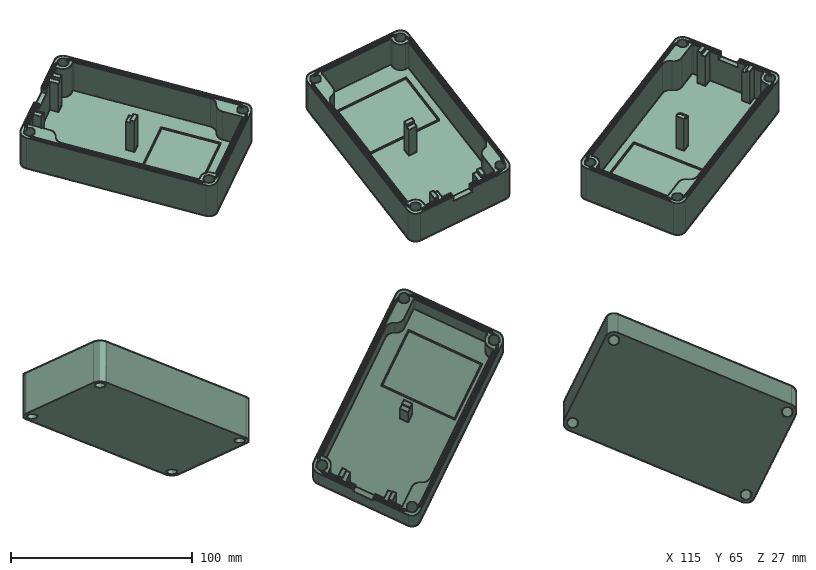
import cadquery as cq
import math

length = 115
width = 65
rim_height = 25
floor_thickness = 2
wall = 3
corner_radius = 5

hole_diameter = 6
hole_inset = 5
boss_radius = 5
long_boss_extension = 10
blend_radius = 5
cavity_corner_radius = 0.5

groove_inset = 1
groove_width = 1
groove_depth = 1.5
groove_corner_radius = 9

notch_width = 12
notch_depth = 4

post_size = 5
post_step = post_size / 2
post_height = 27
ledge_height = rim_height
center_post_x = -2.5
side_post_y = 14

panel_length = 35
panel_width = 45
panel_x = 25
panel_y = -2.5
panel_groove_width = 0.5
panel_groove_depth = 0.5

half_length = length / 2
half_width = width / 2
inner_x = half_length - wall
inner_y = half_width - wall
hole_x = half_length - hole_inset
hole_y = half_width - hole_inset


def rounded_block(size_x, size_y, bottom, top, radius):
    """Centred block with rounded vertical edges."""
    block = cq.Workplane("XY").workplane(offset=bottom).rect(size_x, size_y).extrude(top - bottom)
    return block.edges("|Z").fillet(radius)


def box_at(x_range, y_range, z_range):
    """Block spanning the given (low, high) ranges."""
    size = [high - low for low, high in (x_range, y_range, z_range)]
    corner = (x_range[0], y_range[0], z_range[0])
    return cq.Workplane("XY").box(*size, centered=False).translate(corner)


def make_cavity():
    """Inner space: short bosses at -X+Y and +X-Y, long blended bosses at the other two corners."""
    boss_edge_x = hole_x - boss_radius
    boss_edge_y = hole_y - boss_radius
    long_x = hole_x - long_boss_extension

    blend_y = inner_y - blend_radius
    center_rise = hole_y - blend_y
    center_run = math.sqrt((boss_radius + blend_radius) ** 2 - center_rise ** 2)
    blend_x = long_x - center_run
    touch_share = boss_radius / (boss_radius + blend_radius)
    touch = (long_x - touch_share * center_run, hole_y - touch_share * center_rise)

    half_angle = math.atan2(center_run, center_rise) / 2
    boss_mid = (long_x - boss_radius * math.sin(half_angle), hole_y - boss_radius * math.cos(half_angle))
    blend_mid = (blend_x + blend_radius * math.sin(half_angle), blend_y + blend_radius * math.cos(half_angle))

    diagonal = boss_radius * math.sqrt(0.5)
    short_mid = (hole_x - diagonal, diagonal - hole_y)

    def turned(turn, x, y):
        """The given point, or its half-turn image when turn is -1."""
        return (turn * x, turn * y)

    outline = cq.Workplane("XY").workplane(offset=floor_thickness).moveTo(-boss_edge_x, inner_y)
    for turn in (1, -1):
        outline = (
            outline.lineTo(*turned(turn, blend_x, inner_y))
            .threePointArc(turned(turn, *blend_mid), turned(turn, *touch))
            .threePointArc(turned(turn, *boss_mid), turned(turn, long_x, boss_edge_y))
            .lineTo(*turned(turn, inner_x, boss_edge_y))
            .lineTo(*turned(turn, inner_x, -boss_edge_y))
            .lineTo(*turned(turn, hole_x, -boss_edge_y))
            .threePointArc(turned(turn, *short_mid), turned(turn, boss_edge_x, -hole_y))
            .lineTo(*turned(turn, boss_edge_x, -inner_y))
        )
    cavity = outline.close().extrude(rim_height - floor_thickness)

    reach = cavity_corner_radius / 2
    for turn in (1, -1):
        for corner in ((inner_x, boss_edge_y), (inner_x, -boss_edge_y), (boss_edge_x, -inner_y)):
            x, y = turned(turn, *corner)
            low = (x - reach, y - reach, 0)
            high = (x + reach, y + reach, rim_height)
            around_corner = cq.selectors.BoxSelector(low, high)
            cavity = cavity.edges("|Z").edges(around_corner).fillet(cavity_corner_radius)
    return cavity


def make_screw_holes():
    """Through holes at the four corners."""
    holes = cq.Workplane("XY").rarray(2 * hole_x, 2 * hole_y, 2, 2).circle(hole_diameter / 2)
    return holes.extrude(rim_height)


def make_seal_groove():
    """Ring groove following the rim; its wide corners run into the screw holes."""
    bottom = rim_height - groove_depth
    outer_x = length - 2 * groove_inset
    outer_y = width - 2 * groove_inset
    outer = rounded_block(outer_x, outer_y, bottom, rim_height, groove_corner_radius)
    inner = rounded_block(
        outer_x - 2 * groove_width,
        outer_y - 2 * groove_width,
        bottom,
        rim_height,
        groove_corner_radius - groove_width,
    )
    return outer.cut(inner)


def make_notch():
    """Cutout down from the rim through the -X wall."""
    return box_at(
        (-half_length, -inner_x),
        (-notch_width / 2, notch_width / 2),
        (rim_height - notch_depth, rim_height),
    )


def make_panel_groove():
    """Rectangular ring cut into the floor."""
    bottom = floor_thickness - panel_groove_depth
    inset = 2 * panel_groove_width
    groove = (
        cq.Workplane("XY").workplane(offset=bottom).center(panel_x, panel_y)
        .rect(panel_length, panel_width)
        .rect(panel_length - inset, panel_width - inset)
    )
    return groove.extrude(panel_groove_depth)


def make_center_post():
    """Post on the floor with its tall tongue on the +X half."""
    low_x = center_post_x - post_size / 2
    high_x = low_x + post_size
    y_range = (-post_size / 2, post_size / 2)
    ledge = box_at((low_x, high_x), y_range, (floor_thickness, ledge_height))
    tongue = box_at((high_x - post_step, high_x), y_range, (floor_thickness, post_height))
    return ledge.union(tongue)


def make_side_post():
    """Post against the -X wall on the +Y side, with its tall tongue on the outer half."""
    x_range = (-inner_x, -inner_x + post_size)
    low_y = side_post_y - post_size / 2
    high_y = low_y + post_size
    ledge = box_at(x_range, (low_y, high_y), (floor_thickness, ledge_height))
    tongue = box_at(x_range, (high_y - post_step, high_y), (floor_thickness, post_height))
    return ledge.union(tongue)


body = rounded_block(length, width, 0, rim_height, corner_radius)
for cutter in (make_cavity(), make_screw_holes(), make_seal_groove(), make_notch(), make_panel_groove()):
    body = body.cut(cutter)

side_post = make_side_post()
for post in (make_center_post(), side_post, side_post.mirror("XZ")):
    body = body.union(post)

result = body